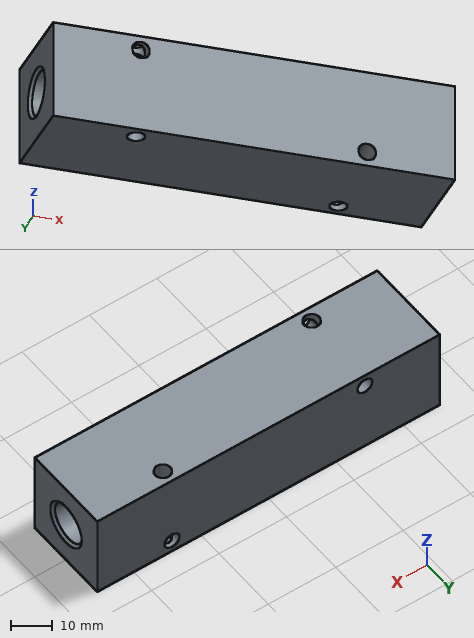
import cadquery as cq

length = 101.6
side = 25.4

bore_diameter = 11.2
bore_mouth_diameter = 12.8
bore_chamfer = (bore_mouth_diameter - bore_diameter) / 2

cross_hole_diameter = 4.4
cross_hole_spacing = 57.2
cross_hole_offset = 8.9

block = cq.Workplane("XY").box(length, side, side)


def drill_cross_holes(body, face, diagonal):
    """Drill a pair of through holes; diagonal (+1 or -1) sets which way the pair slants."""
    half_spacing = cross_hole_spacing / 2
    centres = [(end * half_spacing, end * diagonal * cross_hole_offset) for end in (-1, 1)]
    drilling_plane = body.faces(face).workplane(centerOption="CenterOfBoundBox")
    return drilling_plane.pushPoints(centres).hole(cross_hole_diameter)


def drill_bore(body):
    """Drill the lengthwise bore and chamfer both of its mouths."""
    bored = body.faces("<X").workplane(centerOption="CenterOfBoundBox").hole(bore_diameter)
    return bored.faces("<X or >X").edges("%CIRCLE").chamfer(bore_chamfer)


bored_block = drill_bore(block)
vertically_drilled = drill_cross_holes(bored_block, ">Z", 1)
result = drill_cross_holes(vertically_drilled, "<Y", -1)